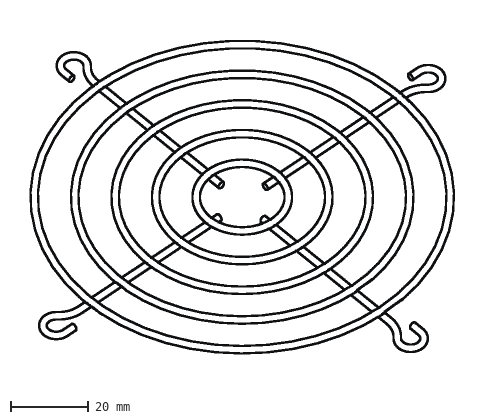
import cadquery as cq
import math

overall_size = 139.0
overall_height = 3.9
wire_radius = 1.0

ring_count = 5
inner_ring_radius = 12.0
outer_ring_radius = 54.0
ring_spacing = (outer_ring_radius - inner_ring_radius) / (ring_count - 1)

spoke_count = 4
spoke_inner_end = 8.0
hook_radius = 3.5
hook_tail_length = 3.0
hook_centre_y = overall_size / 2 - wire_radius - hook_radius

bend_angle = math.radians(45)
bend_radius = hook_radius * math.cos(bend_angle) / (1 - math.cos(bend_angle))
bend_start_y = hook_centre_y - (hook_radius + bend_radius) * math.sin(bend_angle)

spoke_height = wire_radius
ring_height = overall_height - wire_radius


def make_ring(radius):
    ring = cq.Solid.makeTorus(radius, wire_radius, cq.Vector(0, 0, ring_height), cq.Vector(0, 0, 1))
    return cq.Workplane(obj=ring)


def make_spoke():
    """Spoke along +Y with its hook at the outer end."""
    bend_middle = (
        bend_radius * (1 - math.cos(bend_angle / 2)),
        bend_start_y + bend_radius * math.sin(bend_angle / 2),
    )
    bend_end = (
        hook_radius * math.cos(bend_angle),
        hook_centre_y - hook_radius * math.sin(bend_angle),
    )
    hook_middle_angle = (math.pi - bend_angle) / 2
    hook_middle = (
        hook_radius * math.cos(hook_middle_angle),
        hook_centre_y + hook_radius * math.sin(hook_middle_angle),
    )
    path = (
        cq.Workplane("XY", origin=(0, 0, spoke_height))
        .moveTo(0, spoke_inner_end)
        .lineTo(0, bend_start_y)
        .threePointArc(bend_middle, bend_end)
        .threePointArc(hook_middle, (-hook_radius, hook_centre_y))
        .lineTo(-hook_radius, hook_centre_y - hook_tail_length)
    )
    return (
        cq.Workplane("XZ", origin=(0, spoke_inner_end, spoke_height))
        .circle(wire_radius)
        .sweep(path)
    )


spoke = make_spoke()
result = spoke
for index in range(1, spoke_count):
    result = result.union(spoke.rotate((0, 0, 0), (0, 0, 1), index * 360 / spoke_count))
for index in range(ring_count):
    result = result.union(make_ring(inner_ring_radius + index * ring_spacing))
result = cq.Workplane(obj=result.solids().val())